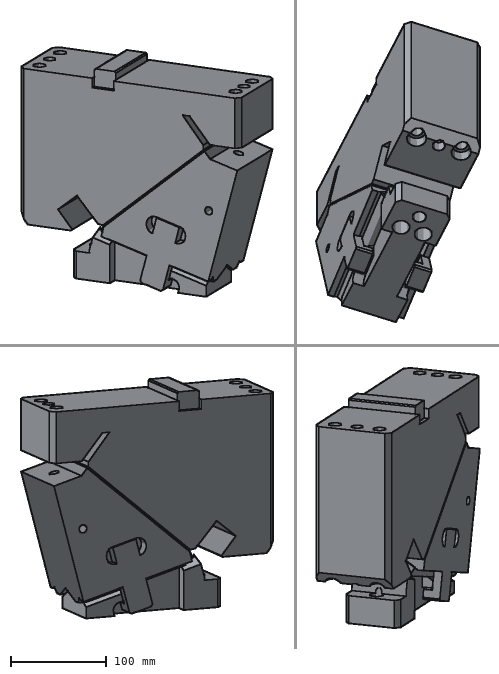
import cadquery as cq
import math


width = 85.0
half_width = width / 2
overshoot = 1.0

guide_tilt = 15.0
guide_x, guide_z = 79.3, 47.4
tilt_cos = math.cos(math.radians(guide_tilt))
tilt_sin = math.sin(math.radians(guide_tilt))

slide_angle = 40.0
slide_dir = (math.cos(math.radians(slide_angle)), math.sin(math.radians(slide_angle)))
slide_normal = (-slide_dir[1], slide_dir[0])
slide_length = 152.0
slide_gap = 1.6
tongue_width = 80.0

housing_length = 255.0
housing_bottom = 55.5
housing_top = 225.0
housing_chamfer = 5.5
toe_chamfer_length = 10.0
toe_chamfer_height = 12.0
flange_bottom = 170.3
slot_top = 198.6
notch_points = [(59.8, housing_bottom), (61.5, 57.0), (45.0, 76.7), (66.9, 94.7), (91.2, 67.0)]
heel_x = 213.0
heel_z = 169.0
slot_inner_x, slot_outer_x = 189.0, 197.0
flange_inner_x = 220.7

left_holes_x, left_holes_pitch = 15.0, 25.0
right_holes_x, right_holes_pitch = 239.5, 20.0
screw_hole = 13.0
dowel_hole = 12.0
screw_counterbore, counterbore_depth = 20.0, 13.0
dowel_relief = 13.0

key_x, key_length, key_width = 84.5, 25.0, 75.0
key_bottom, key_top, key_chamfer = 214.6, 234.0, 1.5

driver_left, driver_right = 55.2, 210.5
driver_width = 61.0
driver_half = driver_width / 2
step_height = 30.0
step_end = 75.4
driver_chamfer = 5.0
ridge_angle = 30.0
ridge_slope = math.tan(math.radians(ridge_angle))
ridge_height = driver_half * ridge_slope
bore_x, bore_y, bore_diameter = 89.5, 12.5, 18.0
step_hole_x, step_hole = 69.3, 14.0
rail_half = 18.5
pocket_start, lip_start = 99.2, 150.0
pocket_end = 107.5
pocket_radius = 8.0
pocket_depth = 60.0
lip_thickness = 8.0

slider_start, slider_end = 13.4, 141.5
slider_bottom = 10.3
slider_corner = 21.8
slider_top = 140.4
skirt_inner = 36.0
pad_thickness = 12.0
pad_outer = 26.0
pad_radius = 2.0
pad_inset = 2.0
pad_floor = 16.8
hook_start, hook_width = 67.8, 27.2
hook_end = hook_start + hook_width
hook_inner, toe_inner = 33.0, 23.5
hook_bottom, hook_chamfer = -20.5, 2.0
window_height, window_radius, window_depth, window_gap = 46.0, 9.5, 12.5, 0.8
lift_hole, lift_bore, lift_depth = 8.5, 10.0, 20.0
lift_along, lift_up = 122.0, 85.4
drill_point_angle = 118.0


def guide_point(along, up):
    """(X, Z) of a point measured in the guide frame."""
    return (guide_x + along * tilt_cos + up * tilt_sin, guide_z - along * tilt_sin + up * tilt_cos)


def slide_point(along, above):
    """(X, Z) of a point measured along and square to the sliding face."""
    corner = guide_point(slider_start, slider_corner)
    return tuple(corner[i] + along * slide_dir[i] + above * slide_normal[i] for i in range(2))


def plate(points, y_low, y_high):
    """XZ outline spanning from y_low to y_high."""
    return cq.Workplane("XZ", origin=(0, y_high, 0)).polyline(points).close().extrude(y_high - y_low)


def block(x_low, x_high, y_low, y_high, z_low, z_high):
    size = (x_high - x_low, y_high - y_low, z_high - z_low)
    return cq.Workplane("XY").box(*size, centered=False).translate((x_low, y_low, z_low))


def upright_hole(x, y, diameter, z_low, z_high):
    return cq.Workplane("XY", origin=(x, y, z_low)).circle(diameter / 2).extrude(z_high - z_low)


def drill(diameter, depth):
    """Drill-shaped cutter with its mouth at the origin, pointing down."""
    radius = diameter / 2
    point = radius / math.tan(math.radians(drill_point_angle / 2))
    half = [(0, 0), (radius, 0), (radius, -depth), (0, -depth - point)]
    return cq.Workplane("XZ").polyline(half).close().revolve(360, (0, 0, 0), (0, 1, 0))


def along_guide(section, start, end):
    """(Y, up) section swept along the guide from start to end."""
    prism = cq.Workplane("YZ").polyline(section).close().extrude(end - start)
    return in_guide(prism.translate((start, 0, 0)))


def in_guide(solid):
    """Moves a solid built with X along and Z up into the tilted guide frame."""
    return solid.rotate((0, 0, 0), (0, 1, 0), guide_tilt).translate((guide_x, 0, guide_z))


def guide_block(along_low, along_high, y_low, y_high, up_low, up_high):
    return in_guide(block(along_low, along_high, y_low, y_high, up_low, up_high))


def mirrored(solid):
    """A cutting or added shape on the -Y side together with its +Y twin."""
    return solid.union(solid.mirror("XZ"))


def make_housing():
    edge_start = slide_point(0, slide_gap)
    edge_length = (heel_x - edge_start[0]) / slide_dir[0]
    edge_end = slide_point(edge_length, slide_gap)
    outline = [
        (0, housing_top),
        (0, housing_bottom + toe_chamfer_height),
        (toe_chamfer_length, housing_bottom),
    ]
    outline += notch_points + [edge_start, edge_end]
    outline += [
        (heel_x, heel_z),
        (slot_inner_x, slot_top),
        (slot_outer_x, slot_top),
        (flange_inner_x, flange_bottom),
        (housing_length, flange_bottom),
        (housing_length, housing_top),
    ]
    body = plate(outline, -half_width, half_width)

    corners = cq.Workplane("XY").rect(housing_length, width).extrude(housing_top)
    corners = corners.edges("|Z").chamfer(housing_chamfer).translate((housing_length / 2, 0, 0))
    body = body.intersect(corners)

    tongue = [slide_point(0, 0), slide_point(edge_length, 0), edge_end, edge_start]
    body = body.union(plate(tongue, -tongue_width / 2, tongue_width / 2))

    for side in (-1, 0, 1):
        hole = screw_hole if side else dowel_hole
        recess = screw_counterbore if side else dowel_relief
        left_y = side * left_holes_pitch
        right_y = side * right_holes_pitch
        body = body.cut(upright_hole(left_holes_x, left_y, hole, 0, housing_top))
        body = body.cut(upright_hole(left_holes_x, left_y, recess, 0, housing_bottom + counterbore_depth))
        body = body.cut(upright_hole(right_holes_x, right_y, hole, flange_bottom, housing_top))

    key_end = key_x + key_length
    body = body.cut(block(key_x, key_end, -half_width, half_width, key_bottom, housing_top))
    key = block(key_x, key_end, -key_width / 2, key_width / 2, key_bottom, key_top)
    key = key.faces(">Z").edges("|Y").chamfer(key_chamfer)
    return body.union(key)


def make_driver():
    outline = [
        (driver_left, 0),
        (driver_left, step_height),
        (step_end, step_height),
        (step_end, guide_z - (guide_x - step_end) * tilt_cos / tilt_sin),
        guide_point(0, 0),
        guide_point(0, ridge_height),
        (driver_right, guide_point(0, ridge_height)[1]),
        (driver_right, 0),
    ]
    body = plate(outline, -driver_half, driver_half)
    body = body.edges("|Z and <X").chamfer(driver_chamfer)

    reach = housing_length
    envelope = [
        (-driver_half, 0),
        (0, ridge_height),
        (driver_half, 0),
        (driver_half, -reach),
        (-driver_half, -reach),
    ]
    body = body.intersect(along_guide(envelope, -reach, reach))

    for side in (-1, 1):
        body = body.cut(upright_hole(bore_x, side * bore_y, bore_diameter, 0, housing_top))
    body = body.cut(upright_hole(step_hole_x, 0, step_hole, 0, guide_z))

    mouth = block(pocket_start, lip_start, -half_width, -rail_half, -overshoot, housing_top)
    groove = block(0, pocket_end, -half_width, -rail_half, -pocket_depth, -lip_thickness)
    groove = in_guide(groove.edges("|Y and >X and >Z").fillet(pocket_radius))
    right_of_start = block(pocket_start, driver_right, -half_width, -rail_half, -overshoot, housing_top)
    groove = groove.intersect(right_of_start)
    mouth = mouth.intersect(guide_block(0, pocket_end, -half_width, -rail_half, -pocket_depth, housing_top))
    return body.cut(mirrored(groove.union(mouth)))


def make_hook():
    """L-shaped hook on the -Y side, reaching under the driver's lip."""
    arm = block(hook_start, hook_end, -half_width, -hook_inner, hook_bottom, slider_bottom + pad_thickness)
    arm = arm.faces("<Z").edges("|Y").chamfer(hook_chamfer)
    toe = block(hook_start, hook_end, -hook_inner, -toe_inner, hook_bottom, -lip_thickness)
    toe = toe.edges("|Y").chamfer(hook_chamfer)
    return in_guide(arm.union(toe))


def make_window():
    """Rounded window on the -Y side, filled in the middle by the top of the hook arm."""
    floor = -half_width + window_depth
    middle = (hook_start + hook_end) / 2
    window = cq.Workplane("XZ", origin=(0, floor, 0)).center(middle, window_height)
    window = window.slot2D(hook_width + 2 * window_radius, 2 * window_radius).extrude(window_depth)
    arm_top = window_height + window_radius - window_gap
    arm = block(hook_start, hook_end, -half_width, floor, 0, arm_top)
    return in_guide(window.cut(arm))


def make_slider():
    shoulder = slide_point(slide_length, 0)
    shoulder_up = (shoulder[0] - guide_x) * tilt_sin + (shoulder[1] - guide_z) * tilt_cos
    fall = (shoulder_up - slider_top) / math.cos(math.radians(slide_angle + guide_tilt))
    outline = [
        guide_point(slider_start, 0),
        slide_point(0, 0),
        shoulder,
        slide_point(slide_length, -fall),
        guide_point(slider_end, slider_top),
        guide_point(slider_end, 0),
    ]
    body = plate(outline, -half_width, half_width)

    roof_peak = slider_bottom + skirt_inner * ridge_slope
    hollow = [
        (-half_width, -overshoot),
        (-half_width, slider_bottom),
        (-skirt_inner, slider_bottom),
        (0, roof_peak),
        (skirt_inner, slider_bottom),
        (half_width, slider_bottom),
        (half_width, -overshoot),
    ]
    body = body.cut(along_guide(hollow, 0, slider_end + overshoot))

    edge_up = (driver_half - pad_outer) * ridge_slope
    rise = pad_thickness / math.cos(math.radians(ridge_angle))
    shift_y = pad_thickness * math.sin(math.radians(ridge_angle))
    shift_up = pad_thickness * math.cos(math.radians(ridge_angle))
    pad_section = [
        (-pad_outer, edge_up),
        (0, ridge_height),
        (pad_outer, edge_up),
        (pad_outer + shift_y, edge_up + shift_up),
        (0, ridge_height + rise),
        (-pad_outer - shift_y, edge_up + shift_up),
    ]
    pad = cq.Workplane("YZ").polyline(pad_section).close().extrude(slider_end - slider_start - pad_inset)
    pad = pad.edges("|X and <Z").fillet(pad_radius)
    pad = in_guide(pad.translate((slider_start + pad_inset, 0, 0)))
    pad = pad.intersect(plate(outline, -half_width, half_width))
    pad = pad.intersect(block(0, housing_length, -half_width, half_width, pad_floor, housing_top))
    body = body.union(pad)

    body = body.union(mirrored(make_hook()))
    body = body.cut(mirrored(make_window()))

    side_hole = drill(lift_hole, lift_depth).rotate((0, 0, 0), (1, 0, 0), 90)
    side_x, side_z = guide_point(lift_along, lift_up)
    body = body.cut(mirrored(side_hole.translate((side_x, -half_width, side_z))))
    top_hole = drill(lift_bore, lift_depth).translate((lift_along, 0, slider_top))
    return body.cut(in_guide(top_hole))


housing = make_housing()
slider = make_slider()
driver = make_driver()

bodies = [*housing.solids().vals(), *slider.solids().vals(), *driver.solids().vals()]
result = cq.Compound.makeCompound(bodies)